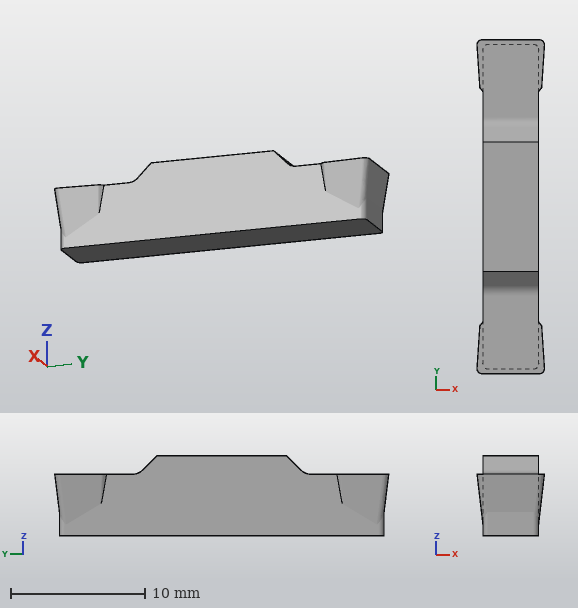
import cadquery as cq
import math

body_width = 4.165
body_height = 5.97
shelf_height = 4.6
bridge_length = 9.7
ramp_angle = 45.0
ramp_foot_radius = 1.03

cutting_length = 24.94
cutting_width = 5.05
end_clearance_angle = 7.0
side_clearance_angle = 6.2
side_relief_angle = 3.75
neck_angle = 38.0
neck_end = 3.88
neck_edge_radius = 0.2
corner_radius = 0.4
end_land_height = 1.74

end_clearance_tangent = math.tan(math.radians(end_clearance_angle))
body_length = cutting_length - 2 * (shelf_height - end_land_height) * end_clearance_tangent


def make_body():
    """Upright bar with rounded vertical corners and a ramped bridge in the middle."""
    bar = cq.Workplane("XY").box(body_width, body_length, body_height, centered=(True, True, False))
    bar = bar.edges("|Z").fillet(corner_radius)

    half_length = body_length / 2
    half_bridge = bridge_length / 2
    ramp_length = (body_height - shelf_height) / math.tan(math.radians(ramp_angle))
    half_foot = half_bridge + ramp_length
    half_profile = [
        (half_length, 0),
        (half_length, shelf_height),
        (half_foot, shelf_height),
        (half_bridge, body_height),
    ]
    mirrored_profile = [(-y, z) for y, z in reversed(half_profile)]
    side_profile = (
        cq.Workplane("YZ")
        .polyline(half_profile + mirrored_profile)
        .close()
        .extrude(body_width / 2, both=True)
    )
    for side in (1, -1):
        foot = cq.selectors.NearestToPointSelector((0, side * half_foot, shelf_height))
        side_profile = side_profile.edges("|X").edges(foot).fillet(ramp_foot_radius)
    return bar.intersect(side_profile)


def head_outline(depth):
    """Five corners of the +Y head outline at a depth below the shelf."""
    relief = math.radians(side_relief_angle)
    neck = math.radians(neck_angle)
    side_inset = depth * math.tan(math.radians(side_clearance_angle))
    edge_y = cutting_length / 2

    rounding_loss = corner_radius * (1 / math.cos(relief) - 1 + math.tan(relief))
    sharp_half_width = cutting_width / 2 + rounding_loss

    side_x = sharp_half_width - edge_y * math.tan(relief) - side_inset / math.cos(relief)
    neck_x = body_width / 2 - (edge_y - neck_end) * math.tan(neck) - side_inset / math.cos(neck)

    end_y = edge_y - depth * end_clearance_tangent
    end_x = side_x + end_y * math.tan(relief)
    bend_y = (side_x - neck_x) / (math.tan(neck) - math.tan(relief))
    bend_x = side_x + bend_y * math.tan(relief)
    apex_y = -neck_x / math.tan(neck)
    return [(-end_x, end_y), (-bend_x, bend_y), (0, apex_y), (bend_x, bend_y), (end_x, end_y)]


def make_head():
    """Head at the +Y end, drafted inward from the shelf down to the base."""
    top = head_outline(0)
    bottom = head_outline(shelf_height)
    head = (
        cq.Workplane("XY")
        .polyline(bottom)
        .close()
        .workplane(offset=shelf_height)
        .polyline(top)
        .close()
        .loft(ruled=True)
    )
    left_corner, left_bend, _, right_bend, right_corner = head_outline(shelf_height / 2)
    roundings = [
        (left_corner, corner_radius),
        (right_corner, corner_radius),
        (left_bend, neck_edge_radius),
        (right_bend, neck_edge_radius),
    ]
    for (x, y), radius in roundings:
        wall_edge = cq.selectors.NearestToPointSelector((x, y, shelf_height / 2))
        head = head.edges(wall_edge).fillet(radius)
    return head


head = make_head()
result = make_body().union(head).union(head.mirror("XZ"))